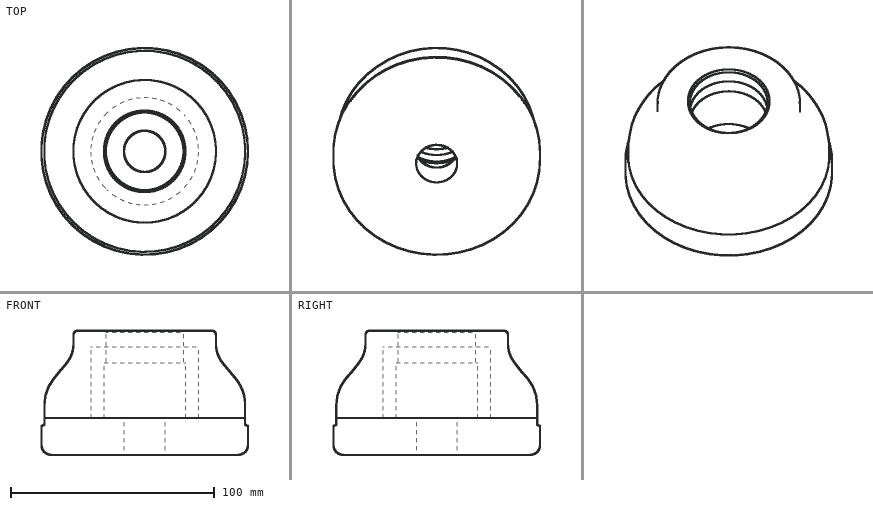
import math

import cadquery as cq

flange_radius = 50.8
flange_bottom_fillet = 5.0
shoulder_z = 14.5
hole_radius = 10.1
hole_chamfer = 0.2

total_height = 61.1
skirt_radius = 49.4
seam_z = 18.1
skirt_top_z = 24.7
shoulder_radius = 20.0
throat_radius = 15.0
flank_angle = math.radians(40)
neck_radius = 35.1
neck_bottom_z = 54.6
neck_fillet = 2.0

bore_radius = 19.05
bore_chamfer = 1.0
tube_top_z = 52.9
tube_radius = 26.4
lip_bottom_z = 45.1
socket_radius = 20.0

step_round = (flange_radius - skirt_radius) / 2


def arc_middle(center_r, center_z, radius, angle):
    """Point of an arc at the given angle above the outward radial direction."""
    return (center_r + radius * math.cos(angle), center_z + radius * math.sin(angle))


def revolve_profile(profile):
    """Turn a closed radius-height profile into a solid around the Z axis."""
    return profile.close().revolve(360, (0, 0, 0), (0, 1, 0))


def make_base():
    """Flanged base with a tube that carries the cover and forms the socket."""
    shoulder_bottom = shoulder_z - step_round
    shoulder_top = shoulder_z + step_round
    fillet_center_r = flange_radius - flange_bottom_fillet
    profile = (
        cq.Workplane("XZ")
        .moveTo(hole_radius, 0)
        .lineTo(fillet_center_r, 0)
        .threePointArc(
            arc_middle(fillet_center_r, flange_bottom_fillet, flange_bottom_fillet, -math.pi / 4),
            (flange_radius, flange_bottom_fillet),
        )
        .lineTo(flange_radius, shoulder_bottom)
        .threePointArc(
            arc_middle(flange_radius - step_round, shoulder_bottom, step_round, math.pi / 4),
            (flange_radius - step_round, shoulder_z),
        )
        .threePointArc(
            arc_middle(skirt_radius + step_round, shoulder_top, step_round, -3 * math.pi / 4),
            (skirt_radius, shoulder_top),
        )
        .lineTo(skirt_radius, seam_z)
        .lineTo(tube_radius, seam_z)
        .lineTo(tube_radius, tube_top_z)
        .lineTo(bore_radius, tube_top_z)
        .lineTo(bore_radius, lip_bottom_z)
        .lineTo(socket_radius, lip_bottom_z)
        .lineTo(socket_radius, seam_z)
        .lineTo(hole_radius + hole_chamfer, seam_z)
        .lineTo(hole_radius, seam_z - hole_chamfer)
    )
    return revolve_profile(profile)


def make_cover():
    """Bell-shaped cover seated on the flange and over the tube."""
    shoulder_center_r = skirt_radius - shoulder_radius
    throat_center_r = neck_radius + throat_radius
    neck_fillet_r = neck_radius - neck_fillet
    neck_fillet_z = total_height - neck_fillet
    profile = (
        cq.Workplane("XZ")
        .moveTo(tube_radius, seam_z)
        .lineTo(skirt_radius, seam_z)
        .lineTo(skirt_radius, skirt_top_z)
        .threePointArc(
            arc_middle(shoulder_center_r, skirt_top_z, shoulder_radius, flank_angle / 2),
            arc_middle(shoulder_center_r, skirt_top_z, shoulder_radius, flank_angle),
        )
        .lineTo(*arc_middle(throat_center_r, neck_bottom_z, throat_radius, math.pi + flank_angle))
        .threePointArc(
            arc_middle(throat_center_r, neck_bottom_z, throat_radius, math.pi + flank_angle / 2),
            (neck_radius, neck_bottom_z),
        )
        .lineTo(neck_radius, neck_fillet_z)
        .threePointArc(
            arc_middle(neck_fillet_r, neck_fillet_z, neck_fillet, math.pi / 4),
            (neck_fillet_r, total_height),
        )
        .lineTo(bore_radius + bore_chamfer, total_height)
        .lineTo(bore_radius, total_height - bore_chamfer)
        .lineTo(bore_radius, tube_top_z)
        .lineTo(tube_radius, tube_top_z)
    )
    return revolve_profile(profile)


base = make_base()
cover = make_cover()
result = cq.Compound.makeCompound([base.val(), cover.val()])